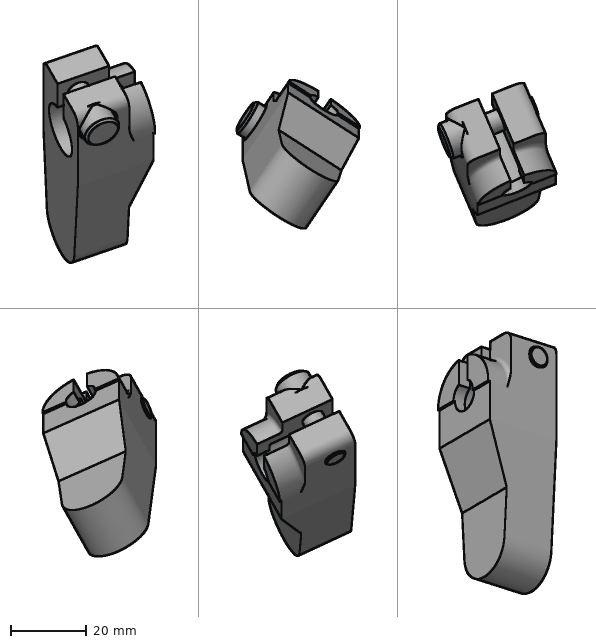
import cadquery as cq
import math


half_width = 11.25
top_z = 17.2
corner_radius = 3.0
taper_start_z = -11.2
tip_radius = 9.0
tip_center_z = -42.4
bottom_z = tip_center_z - tip_radius

ledge_y = 15.0
hub_back_y = 22.0
boss_back_y = 22.5
tip_thickness = 15.5
slope_end_z = -28.9

boss_radius = half_width
boss_fillet = 1.25

bore_radius = 7.5
bore_floor_y = 18.8
bore_floor_fillet = 0.9
rear_hole_radius = 4.3
slot_width = 3.9

screw_y = 6.0
screw_z = 11.6
screw_radius = 3.0
screw_tip_x = -11.7
screw_tip_chamfer = 0.4
head_radius = 5.0
head_end_x = 14.3
head_chamfer = 0.7
head_seat_radius = top_z - screw_z
head_seat_x = half_width - corner_radius


def cylinder_y(radius, start_y, end_y):
    """Cylinder on the bore axis."""
    return cq.Workplane("XZ", origin=(0, start_y, 0)).circle(radius).extrude(start_y - end_y)


def cylinder_x(radius, start_x, end_x):
    """Cylinder on the screw axis."""
    return cq.Workplane("YZ", origin=(start_x, screw_y, screw_z)).circle(radius).extrude(end_x - start_x)


def lever_outline():
    """Straight top, tapered sides tangent to a round tip."""
    rise = taper_start_z - tip_center_z
    reach = math.hypot(half_width, rise)
    tangent_angle = math.atan2(rise, half_width) - math.acos(tip_radius / reach)
    tangent_x = tip_radius * math.cos(tangent_angle)
    tangent_z = tip_center_z + tip_radius * math.sin(tangent_angle)
    return (
        cq.Workplane("XZ")
        .moveTo(-half_width, top_z)
        .lineTo(half_width, top_z)
        .lineTo(half_width, taper_start_z)
        .lineTo(tangent_x, tangent_z)
        .threePointArc((0, bottom_z), (-tangent_x, tangent_z))
        .lineTo(-half_width, taper_start_z)
        .close()
        .extrude(-boss_back_y)
        .edges("|Y and >Z")
        .fillet(corner_radius)
    )


def thickness_profile():
    """Side profile: ledge at the top, thick hub, slope down to the thin tip."""
    return (
        cq.Workplane("YZ", origin=(-half_width, 0, 0))
        .moveTo(0, top_z)
        .lineTo(ledge_y, top_z)
        .lineTo(ledge_y, 0)
        .lineTo(hub_back_y, 0)
        .lineTo(hub_back_y, taper_start_z)
        .lineTo(tip_thickness, slope_end_z)
        .lineTo(tip_thickness, bottom_z)
        .lineTo(0, bottom_z)
        .close()
        .extrude(2 * half_width)
    )


def boss():
    """Upper half of a round boss with a concave fillet down to the ledge."""
    flare_radius = boss_radius + boss_fillet
    arc_offset = boss_fillet * (1 - math.sqrt(0.5))
    turned = (
        cq.Workplane("XY")
        .moveTo(0, 0)
        .lineTo(flare_radius, 0)
        .lineTo(flare_radius, ledge_y)
        .threePointArc(
            (boss_radius + arc_offset, ledge_y + arc_offset),
            (boss_radius, ledge_y + boss_fillet),
        )
        .lineTo(boss_radius, boss_back_y)
        .lineTo(0, boss_back_y)
        .close()
        .revolve(360, (0, 0, 0), (0, 1, 0))
    )
    upper_half = cq.Workplane("XY").box(
        2 * half_width, boss_back_y, top_z, centered=(True, False, False)
    )
    return turned.intersect(upper_half)


def bore():
    """Large bore with a rounded floor corner, and the smaller rear hole."""
    large = cylinder_y(bore_radius, 0, bore_floor_y).faces(">Y").edges().fillet(bore_floor_fillet)
    return large.union(cylinder_y(rear_hole_radius, 0, boss_back_y))


def slot():
    """Clamp slot from the bore axis up through the top."""
    return cq.Workplane("XY").box(slot_width, boss_back_y, top_z, centered=(True, False, False))


def screw():
    """Shank with a chamfered tip on -X and a round head on +X."""
    shank = cylinder_x(screw_radius, screw_tip_x, head_seat_x).faces("<X").chamfer(screw_tip_chamfer)
    head = cylinder_x(head_radius, head_seat_x, head_end_x).faces(">X").chamfer(head_chamfer)
    return shank.union(head)


lever = lever_outline().intersect(thickness_profile().union(boss()))
lever = lever.cut(bore()).cut(slot())
lever = lever.cut(cylinder_x(head_seat_radius, head_seat_x, head_end_x))
result = lever.union(screw())